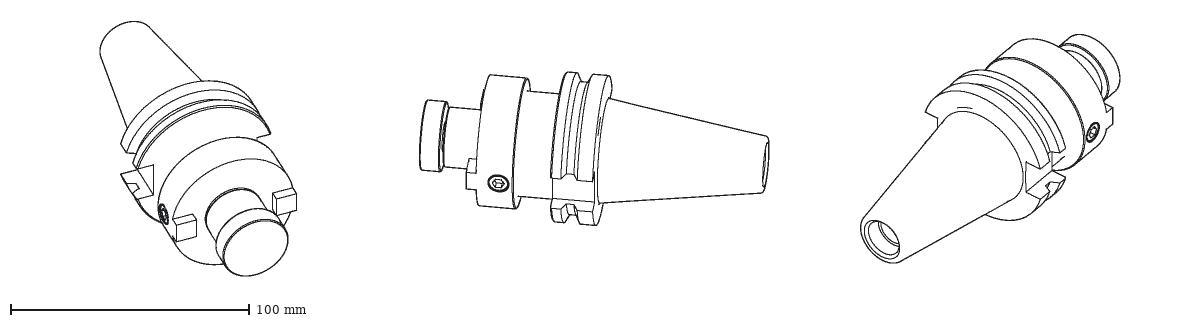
import cadquery as cq
import math


cone_small_radius = 12.2
cone_large_radius = 22.2
cone_end_x = 68.3
nose_round = 1.5
corner_rise = 1.5
corner_arc_radius = 1.7

flange_radius = 31.64
flange_start_x = 69.2
flange_end_x = 87.2
groove_radius = 28.1
groove_center_x = 79.2
groove_floor_width = 3.2
groove_mouth_width = 7.0
flange_chamfer = 0.6

slot_width = 16.5
deep_slot_floor = 22.9
shallow_slot_floor = 24.0

neck_radius = 44.5 / 2
neck_fillet = 0.5
collar_radius = 55.3 / 2
collar_start_x = 103.2
collar_end_x = 119.0
collar_chamfer = 0.5

spigot_radius = 25.3 / 2
undercut_width = 1.2
undercut_depth = 0.22
spigot_end_x = 135.1
spigot_chamfer = 0.5
clamp_shank_radius = 12.7 / 2
clamp_head_radius = 29.7 / 2
clamp_head_start_x = 136.3
clamp_head_chamfer = 0.5
total_length = 144.8

key_width = 9.1
key_end_x = 123.2
key_inner_y = 18.1
key_outer_y = math.sqrt(collar_radius**2 - (key_width / 2) ** 2)
key_screw_x = 109.6
screw_head_diameter = 8.8
screw_seam_width = 0.5
screw_seam_depth = 0.5
hex_across_flats = 4.3
hex_depth = 2.9

bore_radius = 16.2 / 2
bore_depth = 8.0
bore_mouth_radius = 9.4
bore_mouth_depth = 1.2
thread_radius = 13.5 / 2
thread_depth = 31.9


def turned_body():
    """Revolve the outer profile, without the bore."""
    groove_mouth_start = groove_center_x - groove_mouth_width / 2
    groove_mouth_end = groove_center_x + groove_mouth_width / 2
    groove_floor_start = groove_center_x - groove_floor_width / 2
    groove_floor_end = groove_center_x + groove_floor_width / 2

    profile = (
        cq.Workplane("XY")
        .moveTo(0, 0)
        .lineTo(0, cone_small_radius - nose_round)
        .radiusArc((nose_round, cone_small_radius), nose_round)
        .lineTo(cone_end_x, cone_large_radius)
        .radiusArc((flange_start_x, cone_large_radius + corner_rise), -corner_arc_radius)
        .lineTo(flange_start_x, flange_radius)
        .lineTo(groove_mouth_start, flange_radius)
        .lineTo(groove_floor_start, groove_radius)
        .lineTo(groove_floor_end, groove_radius)
        .lineTo(groove_mouth_end, flange_radius)
        .lineTo(flange_end_x - flange_chamfer, flange_radius)
        .lineTo(flange_end_x, flange_radius - flange_chamfer)
        .lineTo(flange_end_x, neck_radius + neck_fillet)
        .radiusArc((flange_end_x + neck_fillet, neck_radius), -neck_fillet)
        .lineTo(collar_start_x - neck_fillet, neck_radius)
        .radiusArc((collar_start_x, neck_radius + neck_fillet), -neck_fillet)
        .lineTo(collar_start_x, collar_radius - collar_chamfer)
        .lineTo(collar_start_x + collar_chamfer, collar_radius)
        .lineTo(collar_end_x, collar_radius)
        .lineTo(collar_end_x, spigot_radius - undercut_depth)
        .lineTo(collar_end_x + undercut_width, spigot_radius - undercut_depth)
        .lineTo(collar_end_x + undercut_width, spigot_radius)
        .lineTo(spigot_end_x - spigot_chamfer, spigot_radius)
        .lineTo(spigot_end_x, spigot_radius - spigot_chamfer)
        .lineTo(spigot_end_x, clamp_shank_radius)
        .lineTo(clamp_head_start_x, clamp_shank_radius)
        .lineTo(clamp_head_start_x, clamp_head_radius - clamp_head_chamfer)
        .lineTo(clamp_head_start_x + clamp_head_chamfer, clamp_head_radius)
        .lineTo(total_length - clamp_head_chamfer, clamp_head_radius)
        .lineTo(total_length, clamp_head_radius - clamp_head_chamfer)
        .lineTo(total_length, 0)
        .close()
    )
    return profile.revolve(360, (0, 0, 0), (1, 0, 0))


def bore():
    """Countersunk bore with a narrower thread hole behind it."""
    return (
        cq.Workplane("XY")
        .moveTo(0, 0)
        .lineTo(0, bore_mouth_radius)
        .lineTo(bore_mouth_depth, bore_radius)
        .lineTo(bore_depth, bore_radius)
        .lineTo(bore_depth, thread_radius)
        .lineTo(thread_depth, thread_radius)
        .lineTo(thread_depth, 0)
        .close()
        .revolve(360, (0, 0, 0), (1, 0, 0))
    )


def drive_slot(side, floor_y):
    """Block that opens the flange on one Y side down to the slot floor."""
    length = flange_end_x - cone_end_x
    depth = flange_radius - floor_y
    return cq.Workplane("XY").box(length, depth, slot_width).translate(
        (cone_end_x + length / 2, side * (floor_y + depth / 2), 0)
    )


def plane_facing(side, y):
    """XZ sketch plane at the key screw, with its normal pointing outwards."""
    return cq.Workplane(
        cq.Plane(origin=(key_screw_x, side * y, 0), xDir=(1, 0, 0), normal=(0, side, 0))
    )


def key_outline(plane):
    """Straight key outline with one round end about the screw."""
    half = key_width / 2
    reach = key_end_x - key_screw_x
    return (
        plane.moveTo(0, half)
        .threePointArc((-half, 0), (0, -half))
        .lineTo(reach, -half)
        .lineTo(reach, half)
        .close()
    )


def add_key(body, side):
    """Sink a flat key into the collar and add its screw head."""
    clearance = key_outline(plane_facing(side, key_outer_y)).extrude(key_width)
    key = key_outline(plane_facing(side, key_inner_y)).extrude(key_outer_y - key_inner_y)
    outer_face = plane_facing(side, key_outer_y)
    seam = (
        outer_face.circle(screw_head_diameter / 2)
        .circle(screw_head_diameter / 2 - screw_seam_width)
        .extrude(-screw_seam_depth)
    )
    hex_diameter = hex_across_flats / math.cos(math.pi / 6)
    socket = outer_face.polygon(6, hex_diameter).extrude(-hex_depth)
    return body.cut(clearance).union(key).cut(seam).cut(socket)


result = turned_body().cut(bore())
result = result.cut(drive_slot(-1, deep_slot_floor)).cut(drive_slot(1, shallow_slot_floor))
for key_side in (-1, 1):
    result = add_key(result, key_side)